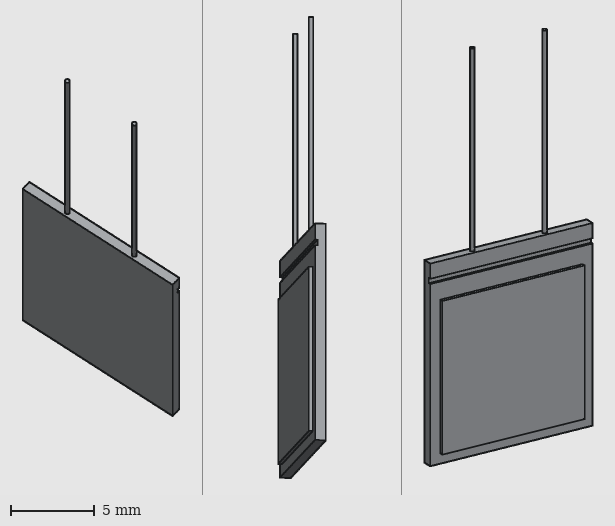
import cadquery as cq

plate_width = 11.45
plate_thickness = 0.65
plate_height = 13.2

total_depth = 0.9
pad_side = 10.0
pad_bottom = 0.7

groove_height = 0.35
groove_depth = 0.15
groove_center_below_top = 1.15

total_height = 26.42
lead_diameter = 0.3
lead_spacing = 5.1
lead_center_y = 0.32
lead_seat_depth = 0.53

lead_positions = [-lead_spacing / 2, lead_spacing / 2]


def make_lead(x):
    """Round wire from the bottom of its seat to the top of the part."""
    seat_bottom = plate_height - lead_seat_depth
    return (
        cq.Workplane("XY", origin=(x, lead_center_y, seat_bottom))
        .circle(lead_diameter / 2)
        .extrude(total_height - seat_bottom)
    )


def make_plate():
    return cq.Workplane("XY").box(
        plate_width, plate_thickness, plate_height, centered=(True, False, False)
    )


def make_pad():
    return (
        cq.Workplane("XY")
        .box(pad_side, total_depth - plate_thickness, pad_side, centered=(True, False, False))
        .translate((0, plate_thickness, pad_bottom))
    )


def make_groove_cutter():
    groove_bottom = plate_height - groove_center_below_top - groove_height / 2
    return (
        cq.Workplane("XY")
        .box(plate_width, groove_depth, groove_height, centered=(True, False, False))
        .translate((0, plate_thickness - groove_depth, groove_bottom))
    )


leads = [make_lead(x) for x in lead_positions]

housing = make_plate().union(make_pad()).cut(make_groove_cutter())
for lead in leads:
    housing = housing.cut(lead)

result = cq.Compound.makeCompound([housing.val(), *[lead.val() for lead in leads]])